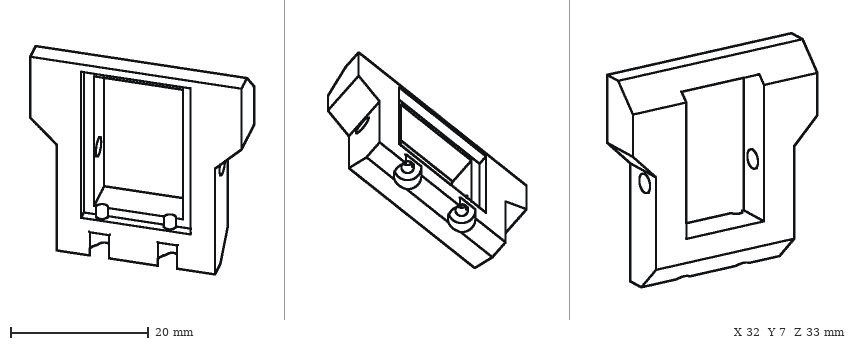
import cadquery as cq

height = 33.0
head_width = 32.0
body_width = 24.0
depth = 7.0
head_side_height = 10.6
shoulder_drop = (head_width - body_width) / 2
back_chamfer = 4.0

window_width = 13.45
window_height = 22.5
window_bottom = 7.75
rebate_width = 16.55
rebate_height = 25.38
rebate_bottom = 6.35
rebate_depth = 1.5

screw_spacing = 10.3
screw_pair_center = -0.35
screw_setback = 1.4
screw_diameter = 1.8
counterbore_diameter = 4.0
counterbore_depth = 4.05

cross_hole_diameter = 2.9
cross_hole_setback = 3.93
cross_hole_height = height / 2


def make_plate():
    """T-shaped plate with its top and bottom back edges chamfered."""
    shoulder_top = height - head_side_height
    shoulder_bottom = shoulder_top - shoulder_drop
    right_side = [
        (body_width / 2, 0),
        (body_width / 2, shoulder_bottom),
        (head_width / 2, shoulder_top),
        (head_width / 2, height),
    ]
    left_side = [(-x, z) for x, z in reversed(right_side)]
    plate = cq.Workplane("XZ").polyline(right_side + left_side).close().extrude(-depth)
    return plate.faces(">Y").edges("<Z or >Z").chamfer(back_chamfer)


def front_pocket(width, pocket_height, bottom, pocket_depth):
    """Rectangular cutter running back from the front face."""
    return cq.Workplane("XY").box(
        width, pocket_depth, pocket_height, centered=(True, False, False)
    ).translate((0, 0, bottom))


def screw_cutter(x):
    """Screw hole up into the window, counterbored from the bottom edge."""
    base = cq.Workplane("XY").center(x, screw_setback)
    hole = base.circle(screw_diameter / 2).extrude(window_bottom)
    counterbore = base.circle(counterbore_diameter / 2).extrude(counterbore_depth)
    return hole.union(counterbore)


result = make_plate()
result = result.cut(front_pocket(window_width, window_height, window_bottom, depth))
result = result.cut(front_pocket(rebate_width, rebate_height, rebate_bottom, rebate_depth))

for side in (-1, 1):
    result = result.cut(screw_cutter(screw_pair_center + side * screw_spacing / 2))

cross_hole = (
    cq.Workplane("YZ")
    .center(cross_hole_setback, cross_hole_height)
    .circle(cross_hole_diameter / 2)
    .extrude(head_width / 2, both=True)
)
result = result.cut(cross_hole)